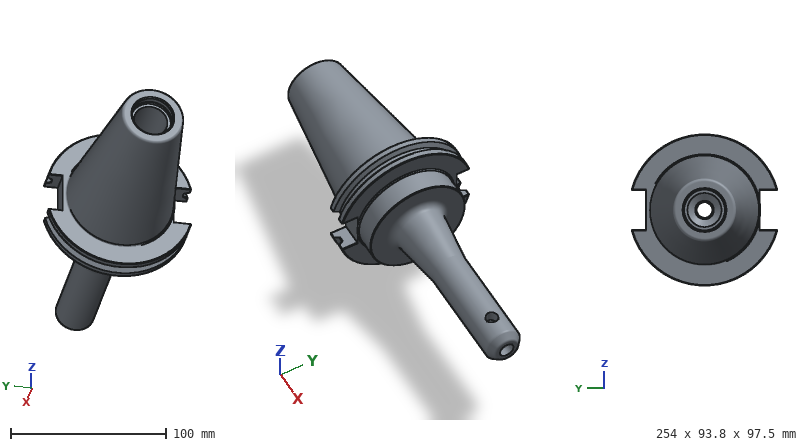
import cadquery as cq
import math

taper_length = 101.6
gauge_length = 152.42
gauge_diameter = 69.85
taper_ratio = 7 / 24
tail_fillet = 2.0

collar_diameter = 70.2
flange_start = 3.2
flange_end = 19.1
flange_diameter = 97.5
flange_chamfer = 0.5
flange_root_fillet = 0.9

groove_center = 11.1
groove_top_width = 7.0
groove_depth = 3.3
groove_half_angle = math.radians(30)

slot_width = 25.7
slot_edge_chamfer = 0.45
front_slot_distance = 35.5
back_slot_distance = 37.7

body_diameter = 69.85
body_end = 35.0
body_chamfer = 0.5
neck_fillet = 5.0
neck_cone_angle = math.radians(7.75)
neck_cone_end = 76.2
shank_diameter = 25.4
tip_length = 5.1
tip_angle = math.radians(39)
tip_shoulder_fillet = 2.0
tip_face_fillet = 2.0

mouth_diameter = 28.4
pilot_diameter = 26.7
pilot_depth = 4.6
counterbore_diameter = 26.2
counterbore_depth = 7.0
thread_diameter = 21.97
thread_depth = 45.0
drill_point_diameter = 12.0
drill_point_angle = math.radians(118)
coolant_diameter = 10.0

cross_hole_diameter = 8.38
cross_hole_to_tip = 19.5

tail_x = -taper_length
tip_x = gauge_length


def circle_at(x, radius):
    """Select the circular edge around the axis at position x with the given radius."""
    margin = 0.1
    reach = radius + margin
    return cq.selectors.BoxSelector(
        (x - margin, -reach, -reach), (x + margin, reach, reach), boundingbox=True
    )


def make_turned_body():
    tail_radius = (gauge_diameter - taper_ratio * taper_length) / 2
    collar_radius = collar_diameter / 2
    collar_start = (collar_diameter - gauge_diameter) / taper_ratio
    flange_radius = flange_diameter / 2
    body_radius = body_diameter / 2
    shank_radius = shank_diameter / 2
    cone_radius = shank_radius + (neck_cone_end - body_end) * math.tan(neck_cone_angle)
    groove_floor = flange_radius - groove_depth
    groove_top_half = groove_top_width / 2
    groove_floor_half = groove_top_half - groove_depth * math.tan(groove_half_angle)
    tip_start = tip_x - tip_length
    tip_radius = shank_radius - tip_length * math.tan(tip_angle)
    profile = (
        cq.Workplane("XY")
        .moveTo(tail_x, 0)
        .lineTo(tail_x, tail_radius)
        .lineTo(collar_start, collar_radius)
        .lineTo(flange_start, collar_radius)
        .lineTo(flange_start, flange_radius - flange_chamfer)
        .lineTo(flange_start + flange_chamfer, flange_radius)
        .lineTo(groove_center - groove_top_half, flange_radius)
        .lineTo(groove_center - groove_floor_half, groove_floor)
        .lineTo(groove_center + groove_floor_half, groove_floor)
        .lineTo(groove_center + groove_top_half, flange_radius)
        .lineTo(flange_end - flange_chamfer, flange_radius)
        .lineTo(flange_end, flange_radius - flange_chamfer)
        .lineTo(flange_end, body_radius)
        .lineTo(body_end - body_chamfer, body_radius)
        .lineTo(body_end, body_radius - body_chamfer)
        .lineTo(body_end, cone_radius)
        .lineTo(neck_cone_end, shank_radius)
        .lineTo(tip_start, shank_radius)
        .lineTo(tip_x, tip_radius)
        .lineTo(tip_x, 0)
        .close()
    )
    body = profile.revolve(360, (0, 0, 0), (1, 0, 0))
    body = body.faces("<X").edges().fillet(tail_fillet)
    body = body.faces(">X").edges().fillet(tip_face_fillet)
    body = body.edges(circle_at(tip_start, shank_radius)).fillet(tip_shoulder_fillet)
    body = body.edges(circle_at(flange_start, collar_radius)).fillet(flange_root_fillet)
    body = body.edges(circle_at(flange_end, body_radius)).fillet(flange_root_fillet)
    return body.edges(circle_at(body_end, cone_radius)).fillet(neck_fillet)


def make_slot(side, floor_distance):
    length = flange_end - flange_start
    reach = flange_diameter
    return (
        cq.Workplane("XY")
        .box(length, reach, slot_width)
        .translate((flange_start + length / 2, side * (floor_distance + reach / 2), 0))
    )


def make_bore():
    thread_radius = thread_diameter / 2
    drill_radius = drill_point_diameter / 2
    coolant_radius = coolant_diameter / 2
    mouth_radius = mouth_diameter / 2
    pilot_radius = pilot_diameter / 2
    counterbore_radius = counterbore_diameter / 2
    cone_length = (thread_radius - drill_radius) / math.tan(drill_point_angle / 2)
    thread_end = tail_x + thread_depth
    profile = (
        cq.Workplane("XY")
        .moveTo(tail_x, 0)
        .lineTo(tail_x, mouth_radius)
        .lineTo(tail_x + mouth_radius - pilot_radius, pilot_radius)
        .lineTo(tail_x + pilot_depth, pilot_radius)
        .lineTo(tail_x + pilot_depth, counterbore_radius)
        .lineTo(tail_x + counterbore_depth, counterbore_radius)
        .lineTo(tail_x + counterbore_depth, thread_radius)
        .lineTo(thread_end, thread_radius)
        .lineTo(thread_end + cone_length, drill_radius)
        .lineTo(thread_end + cone_length, coolant_radius)
        .lineTo(tip_x, coolant_radius)
        .lineTo(tip_x, 0)
        .close()
    )
    return profile.revolve(360, (0, 0, 0), (1, 0, 0))


def make_cross_hole():
    return (
        cq.Workplane("XY")
        .center(tip_x - cross_hole_to_tip, 0)
        .circle(cross_hole_diameter / 2)
        .extrude(shank_diameter)
    )


def slot_wall_edges(side, wall):
    """Select the flange edges that border one side wall of one drive slot, except at its floor."""
    margin = 0.05
    wall_z = wall * slot_width / 2
    inner_y = side * (max(front_slot_distance, back_slot_distance) + margin)
    outer_y = side * flange_diameter
    return cq.selectors.BoxSelector(
        (flange_start - margin, min(inner_y, outer_y), wall_z - margin),
        (flange_end + margin, max(inner_y, outer_y), wall_z + margin),
    )


def cut_slots(body):
    body = body.cut(make_slot(-1, front_slot_distance))
    body = body.cut(make_slot(1, back_slot_distance))
    for side in (-1, 1):
        for wall in (-1, 1):
            body = body.edges(slot_wall_edges(side, wall)).chamfer(slot_edge_chamfer)
    return body


result = cut_slots(make_turned_body()).cut(make_bore()).cut(make_cross_hole())